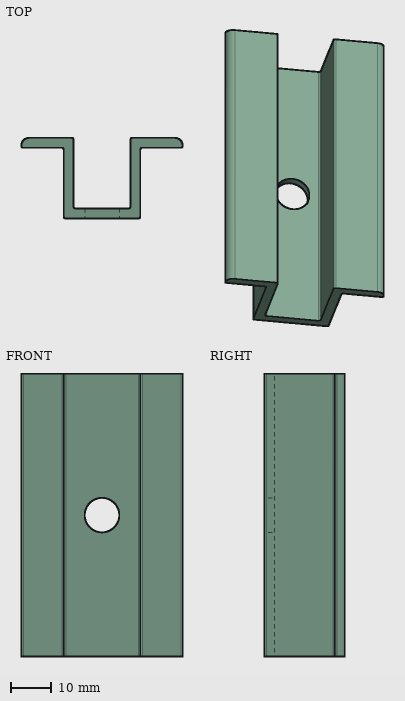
import cadquery as cq

LENGTH = 70.0
OVERALL_WIDTH = 40.0
DEPTH = 20.0
WALL = 2.5
CHANNEL_WIDTH = 14.0
HOLE_DIAMETER = 8.5

TIP_RADIUS = 2.0
EDGE_RADIUS = 0.5

HALF_WIDTH = OVERALL_WIDTH / 2
INNER_X = CHANNEL_WIDTH / 2
OUTER_X = INNER_X + WALL
BACK_Y = DEPTH / 2
FRONT_Y = -DEPTH / 2
FLANGE_FRONT_Y = BACK_Y - WALL
FLOOR_Y = FRONT_Y + WALL


def half_channel():
    """Right half of the flanged channel, with the flange tip already rounded."""
    return (
        cq.Workplane("XY", origin=(0, 0, -LENGTH / 2))
        .moveTo(0, FLOOR_Y)
        .lineTo(INNER_X, FLOOR_Y)
        .lineTo(INNER_X, BACK_Y)
        .lineTo(HALF_WIDTH - TIP_RADIUS, BACK_Y)
        .radiusArc((HALF_WIDTH, BACK_Y - TIP_RADIUS), TIP_RADIUS)
        .radiusArc((HALF_WIDTH - EDGE_RADIUS, FLANGE_FRONT_Y), EDGE_RADIUS)
        .lineTo(OUTER_X, FLANGE_FRONT_Y)
        .lineTo(OUTER_X, FRONT_Y)
        .lineTo(0, FRONT_Y)
        .close()
        .extrude(LENGTH)
    )


def round_edge(body, x, y, radius):
    """Round the lengthwise edge that passes through (x, y)."""
    edge = cq.selectors.NearestToPointSelector((x, y, 0))
    return body.edges("|Z").edges(edge).fillet(radius)


def flanged_channel():
    """Both halves of the channel joined, with all corners rounded."""
    half = half_channel()
    half = round_edge(half, INNER_X, FLOOR_Y, EDGE_RADIUS)
    half = round_edge(half, INNER_X, BACK_Y, EDGE_RADIUS)
    half = round_edge(half, OUTER_X, FLANGE_FRONT_Y, EDGE_RADIUS)
    half = round_edge(half, OUTER_X, FRONT_Y, EDGE_RADIUS)
    return half.union(half.mirror("YZ")).clean()


def drill_web_hole(body):
    """Cut the central hole through the web along Y."""
    drill = (
        cq.Workplane("XZ", origin=(0, BACK_Y, 0))
        .circle(HOLE_DIAMETER / 2)
        .extrude(DEPTH)
    )
    return body.cut(drill)


result = drill_web_hole(flanged_channel())